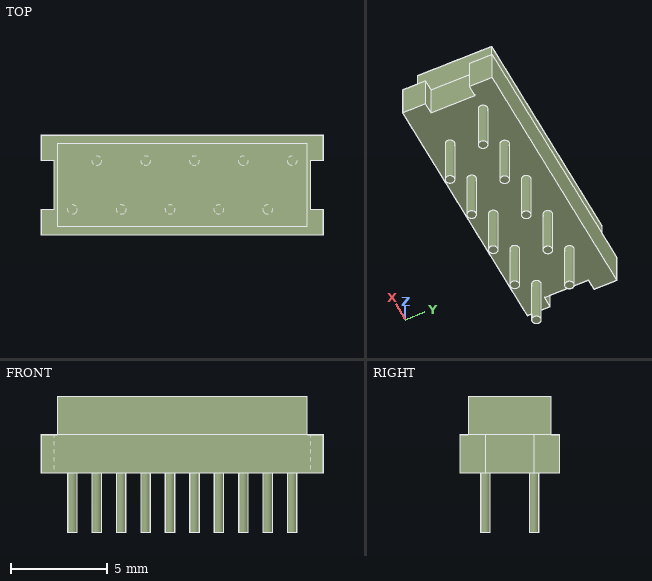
import cadquery as cq

base_length = 14.7
base_width = 5.2
base_height = 2.0
notch_depth = 0.66
notch_width = 2.55

cover_length = 13.0
cover_width = 4.3
cover_height = 2.0

total_height = 7.1
pin_length = total_height - base_height - cover_height
pin_diameter = 0.5
pin_count = 10
row_spacing = 2.55
pin_pitch = row_spacing / 2


def make_base():
    """Block standing on Z = 0, open at the middle of both ends."""
    base = cq.Workplane("XY").box(base_length, base_width, base_height, centered=(True, True, False))
    notches = (
        cq.Workplane("XY")
        .pushPoints([(-base_length / 2, 0), (base_length / 2, 0)])
        .rect(2 * notch_depth, notch_width)
        .extrude(base_height)
    )
    return base.cut(notches)


def make_cover():
    """Plain block centred on top of the base."""
    return (
        cq.Workplane("XY")
        .workplane(offset=base_height)
        .rect(cover_length, cover_width)
        .extrude(cover_height)
    )


def make_pins():
    """Pins below the base, alternating between the -Y and +Y rows."""
    first_x = -pin_pitch * (pin_count - 1) / 2
    centres = []
    for index in range(pin_count):
        side = -1 if index % 2 == 0 else 1
        centres.append((first_x + index * pin_pitch, side * row_spacing / 2))
    return cq.Workplane("XY").pushPoints(centres).circle(pin_diameter / 2).extrude(-pin_length)


result = make_base().union(make_cover()).union(make_pins())